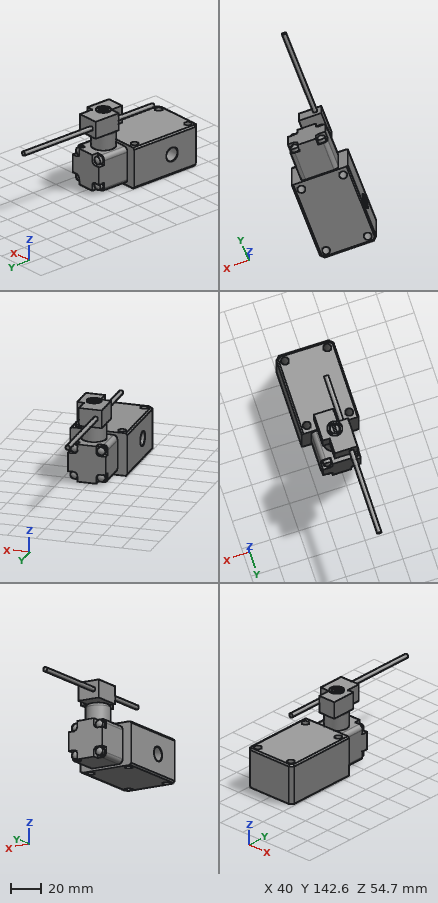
import cadquery as cq


housing_width = 40.0
housing_height = 30.2
housing_front = -66.5
housing_rear = -9.5
housing_length = housing_rear - housing_front
corner_chamfer = 2.5
rim_drop = 1.3
rim_inset = 1.0
mount_hole_diameter = 5.3
mount_hole_x = 14.8
mount_hole_rear_y = -14.5
mount_hole_front_y = -61.6

port_y = -43.0
port_z = housing_height / 2
port_mouth_diameter = 10.3
port_bore_diameter = 9.7
port_chamfer = (port_mouth_diameter - port_bore_diameter) / 2
port_drill_diameter = 8.1
port_depth = 10.0
port_tip_depth = 2.4

head_size = 26.5
head_rear = 15.7
head_bottom = 1.7
head_center_z = head_bottom + head_size / 2
head_fillet = 3.1
pocket_size = 6.7
pocket_depth = 4.7
screw_diameter = 5.7
screw_offset = head_size / 2 - pocket_size + screw_diameter / 2
screw_height = 4.1
screw_crown = 1.5

turret_diameter = 17.0
turret_top = 41.8
turret_fillet = 2.0

block_left = -10.7
block_right = 10.1
block_front = -13.5
block_rear = 16.3
block_height = 12.5
block_top = turret_top + block_height
front_step_x = -3.3
front_step_y = -4.1
rear_step_x = 5.3
rear_step_y = 5.4

rod_diameter = 3.1
rod_x = -6.4
rod_z = 48.0
rod_front = -38.1
overall_length = 142.6
rod_rear = housing_front + overall_length

washer_diameter = 10.1
washer_height = 0.4
clamp_recess_diameter = 7.3
clamp_recess_depth = 1.0
clamp_screw_chamfer = 0.4
clamp_slot_width = 1.4
clamp_slot_depth = 1.1


def make_housing_box():
    box = (
        cq.Workplane("XY")
        .box(housing_width, housing_length, housing_height, centered=(True, False, False))
        .translate((0, housing_front, 0))
        .edges("|Z and <Y")
        .chamfer(corner_chamfer)
    )
    for face in (">Z", "<Z"):
        rim_edges = box.faces(face).edges("not(>Y)")
        box = rim_edges.chamfer(rim_drop, rim_inset)
    return box


def cut_mount_holes(body):
    places = [
        (x, y)
        for x in (-mount_hole_x, mount_hole_x)
        for y in (mount_hole_front_y, mount_hole_rear_y)
    ]
    holes = (
        cq.Workplane("XY")
        .pushPoints(places)
        .circle(mount_hole_diameter / 2)
        .extrude(housing_height)
    )
    return body.cut(holes)


def make_port():
    """Chamfered blind bore that ends in a ledge and a conical tip, turned about an axis along X."""
    mouth = -housing_width / 2
    bottom = mouth + port_depth
    return (
        cq.Workplane("XY")
        .moveTo(mouth, 0)
        .lineTo(mouth, port_mouth_diameter / 2)
        .lineTo(mouth + port_chamfer, port_bore_diameter / 2)
        .lineTo(bottom, port_bore_diameter / 2)
        .lineTo(bottom, port_drill_diameter / 2)
        .lineTo(bottom + port_tip_depth, 0)
        .close()
        .revolve(360, (0, 0, 0), (1, 0, 0))
        .translate((0, port_y, port_z))
    )


def make_head():
    length = head_rear - housing_rear
    head = (
        cq.Workplane("XY")
        .box(head_size, length, head_size, centered=(True, False, True))
        .edges("|Y")
        .fillet(head_fillet)
    )
    return head.translate((0, housing_rear, head_center_z))


def make_corner_pocket(side_x, side_z):
    """Square corner cut whose inner corner is rounded to follow the screw head."""
    center = head_size / 2 - pocket_size / 2
    inner_x = "<X" if side_x > 0 else ">X"
    inner_z = "<Z" if side_z > 0 else ">Z"
    return (
        cq.Workplane("XY")
        .box(pocket_size, pocket_depth, pocket_size)
        .edges("|Y")
        .edges(inner_x)
        .edges(inner_z)
        .fillet(screw_diameter / 2)
        .translate(
            (side_x * center, head_rear - pocket_depth / 2, head_center_z + side_z * center)
        )
    )


def make_head_screw(side_x, side_z):
    """Round screw head with a domed end, turned about an axis along Y."""
    radius = screw_diameter / 2
    dome_radius = (radius**2 + screw_crown**2) / (2 * screw_crown)
    screw = (
        cq.Workplane("XY")
        .lineTo(radius, 0)
        .lineTo(radius, screw_height - screw_crown)
        .radiusArc((0, screw_height), -dome_radius)
        .close()
        .revolve(360, (0, 0, 0), (0, 1, 0))
    )
    return screw.translate(
        (side_x * screw_offset, head_rear - pocket_depth, head_center_z + side_z * screw_offset)
    )


def make_turret():
    turret = (
        cq.Workplane("XY")
        .workplane(offset=head_center_z)
        .circle(turret_diameter / 2)
        .extrude(turret_top - head_center_z)
    )
    return turret.faces(">Z").edges().fillet(turret_fillet)


def make_switch_body():
    body = cut_mount_holes(make_housing_box()).cut(make_port())
    head = make_head()
    corners = [(x, z) for x in (-1, 1) for z in (-1, 1)]
    for corner in corners:
        head = head.cut(make_corner_pocket(*corner))
        head = head.union(make_head_screw(*corner))
    return body.union(head).union(make_turret())


def make_lever_block():
    return (
        cq.Workplane("XY")
        .workplane(offset=turret_top)
        .moveTo(block_left, front_step_y)
        .lineTo(front_step_x, front_step_y)
        .lineTo(front_step_x, block_front)
        .lineTo(block_right, block_front)
        .lineTo(block_right, rear_step_y)
        .lineTo(rear_step_x, rear_step_y)
        .lineTo(rear_step_x, block_rear)
        .lineTo(block_left, block_rear)
        .close()
        .extrude(block_height)
    )


def make_rod():
    return (
        cq.Workplane("XZ")
        .circle(rod_diameter / 2)
        .extrude(rod_front - rod_rear)
        .translate((rod_x, rod_front, rod_z))
    )


def make_washer():
    return (
        cq.Workplane("XY")
        .workplane(offset=block_top)
        .circle(washer_diameter / 2)
        .extrude(washer_height)
    )


def make_clamp_recess():
    """Round recess around a sunken screw head with a chamfered rim, turned about the Z axis."""
    top = block_top + washer_height
    face = top - clamp_recess_depth
    radius = clamp_recess_diameter / 2
    return (
        cq.Workplane("XZ")
        .moveTo(0, face)
        .lineTo(radius - clamp_screw_chamfer, face)
        .lineTo(radius, face - clamp_screw_chamfer)
        .lineTo(radius, top)
        .lineTo(0, top)
        .close()
        .revolve(360, (0, 0, 0), (0, 1, 0))
    )


def make_clamp_slot():
    face = block_top + washer_height - clamp_recess_depth
    length = clamp_recess_diameter - 2 * clamp_screw_chamfer
    slot = cq.Workplane("XY").box(clamp_slot_width, length, clamp_slot_depth)
    return slot.translate((0, 0, face - clamp_slot_depth / 2))


def make_lever():
    lever_arm = make_lever_block().union(make_rod()).union(make_washer())
    return lever_arm.cut(make_clamp_recess()).cut(make_clamp_slot())


switch_body = make_switch_body()
lever = make_lever()

result = cq.Compound.makeCompound([switch_body.val(), lever.val()])